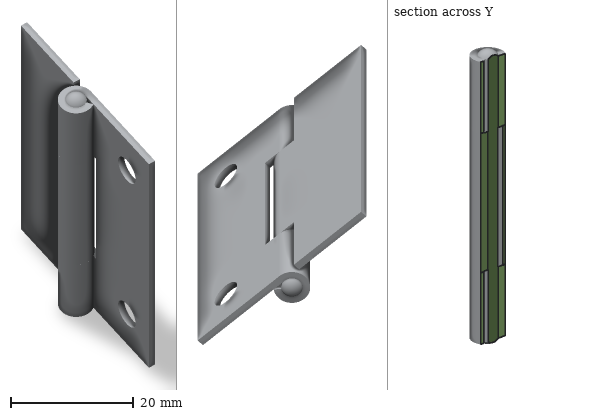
import cadquery as cq
import math

total_width = 36.5
total_height = 53.0
leaf_height = 51.0
leaf_reach = total_width / 2

knuckle_diameter = 6.0
knuckle_radius = knuckle_diameter / 2
bore_radius = 1.75
leaf_thickness = knuckle_radius - bore_radius
middle_knuckle_height = 25.0
end_knuckle_height = (leaf_height - middle_knuckle_height) / 2
end_knuckle_offset = (middle_knuckle_height + end_knuckle_height) / 2
curl_end_angle = math.radians(35)
notch_edge = 3.25

pin_radius = bore_radius
head_height = (total_height - leaf_height) / 2

hole_diameter = 5.0
hole_x = 12.0
hole_spacing = 36.0


def polar(radius, angle):
    return (radius * math.cos(angle), radius * math.sin(angle))


def rolled_section(height, center_z):
    """Leaf strip on the +X side, rolled around the pin at its inner end."""
    opposite_angle = math.pi + curl_end_angle / 2
    return (
        cq.Workplane("XY")
        .workplane(offset=center_z - height / 2)
        .moveTo(leaf_reach, knuckle_radius)
        .lineTo(0, knuckle_radius)
        .threePointArc(polar(knuckle_radius, opposite_angle), polar(knuckle_radius, curl_end_angle))
        .lineTo(*polar(bore_radius, curl_end_angle))
        .threePointArc(polar(bore_radius, opposite_angle), (0, bore_radius))
        .lineTo(leaf_reach, bore_radius)
        .close()
        .extrude(height)
    )


def flat_plate():
    """Full-height flat part of a leaf on the +X side."""
    return cq.Workplane("XY").box(
        leaf_reach - notch_edge, leaf_thickness, leaf_height, centered=(False, False, True)
    ).translate((notch_edge, bore_radius, 0))


def make_drilled_leaf():
    """Right leaf: two end knuckles and two screw holes."""
    leaf = flat_plate()
    for side in (-1, 1):
        leaf = leaf.union(rolled_section(end_knuckle_height, side * end_knuckle_offset))
    holes = (
        cq.Workplane("XZ")
        .pushPoints([(hole_x, side * hole_spacing / 2) for side in (-1, 1)])
        .circle(hole_diameter / 2)
        .extrude(-2 * knuckle_radius)
    )
    return leaf.cut(holes)


def make_plain_leaf():
    """Left leaf: one middle knuckle, no holes."""
    leaf = flat_plate().union(rolled_section(middle_knuckle_height, 0))
    return leaf.mirror("YZ")


def make_pin():
    """Round pin with a domed head at each end, revolved about the Z axis."""
    sphere_radius = (pin_radius**2 + head_height**2) / (2 * head_height)
    half_angle = math.asin(pin_radius / sphere_radius) / 2
    dome_x = sphere_radius * math.sin(half_angle)
    dome_z = total_height / 2 - sphere_radius * (1 - math.cos(half_angle))
    return (
        cq.Workplane("XZ")
        .moveTo(0, -total_height / 2)
        .threePointArc((dome_x, -dome_z), (pin_radius, -leaf_height / 2))
        .lineTo(pin_radius, leaf_height / 2)
        .threePointArc((dome_x, dome_z), (0, total_height / 2))
        .close()
        .revolve(360, (0, 0, 0), (0, 1, 0))
    )


drilled_leaf = make_drilled_leaf()
plain_leaf = make_plain_leaf()
pin = make_pin()

result = cq.Compound.makeCompound([drilled_leaf.val(), plain_leaf.val(), pin.val()])